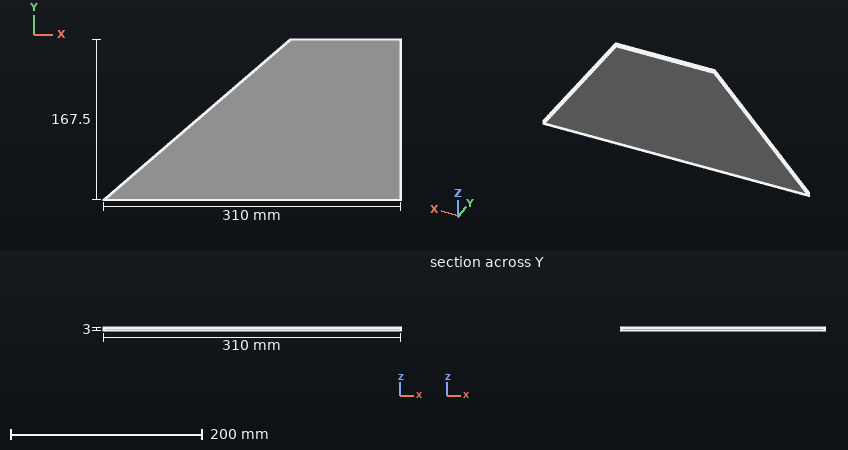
import cadquery as cq

length = 310.0
width = 167.5
thickness = 3.0
short_edge = 115.0

outline = [
    (0, 0),
    (length, 0),
    (length, width),
    (length - short_edge, width),
]

result = cq.Workplane("XY").polyline(outline).close().extrude(thickness)